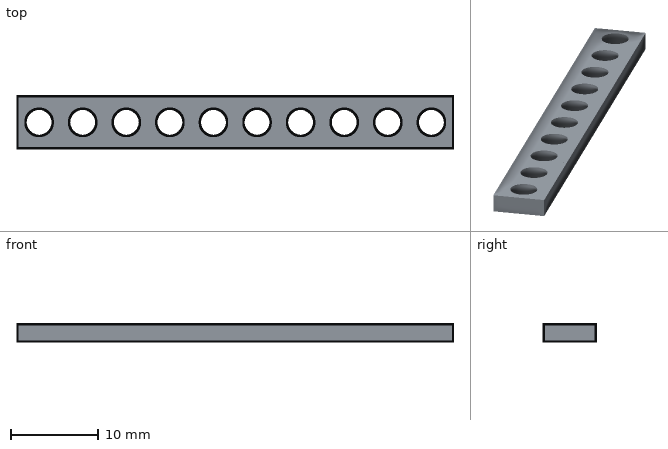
import cadquery as cq

hole_count = 10
hole_pitch = 5.0
hole_diameter = 3.1
strip_width = 6.0
strip_thickness = 2.0

strip_length = hole_count * hole_pitch


def make_strip():
    """Flat rectangular strip centred on the origin in X and Y, resting on Z = 0."""
    return cq.Workplane("XY").box(
        strip_length, strip_width, strip_thickness, centered=(True, True, False)
    )


def drill_hole_row(strip):
    """Row of evenly spaced through holes along the centreline of the strip."""
    return (
        strip.faces(">Z")
        .workplane(origin=(0, 0, strip_thickness))
        .rarray(hole_pitch, strip_width, hole_count, 1)
        .hole(hole_diameter)
    )


result = drill_hole_row(make_strip())